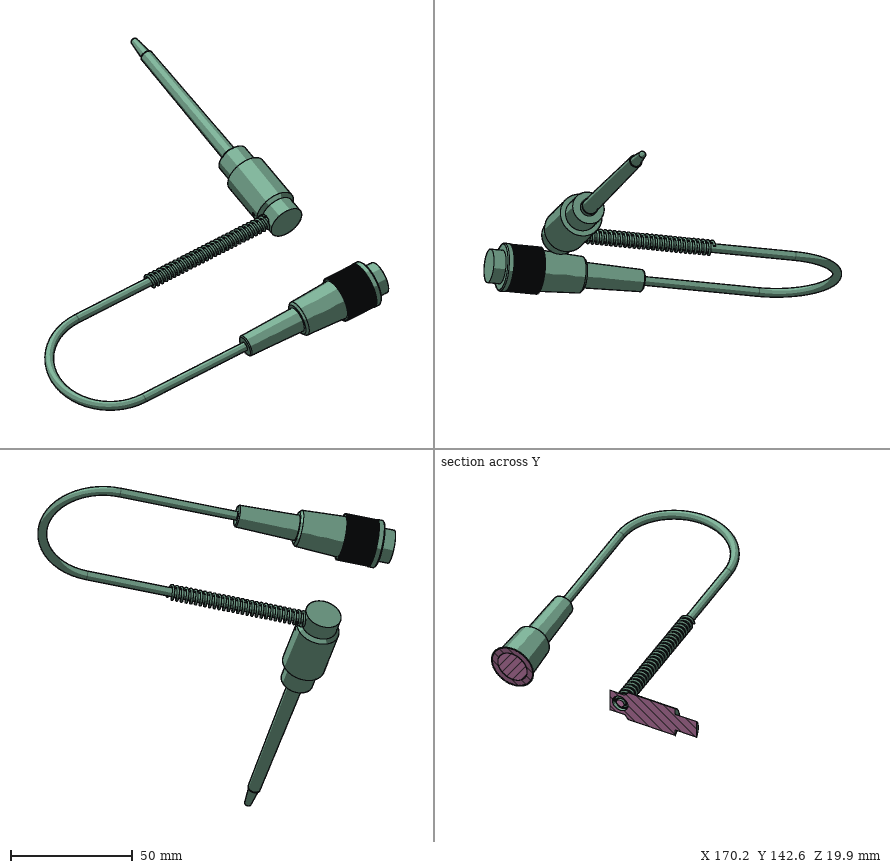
import cadquery as cq
import math


tip_end_dia = 2.9
tip_dome_height = 0.8
tip_dome_radius = (tip_end_dia**2 / 4 + tip_dome_height**2) / (2 * tip_dome_height)
tip_base_dia = 4.5
tip_length = 10.0
shaft_front_dia = 5.3
shaft_back_dia = 6.5
shaft_end = 72.5
collar_dia = 7.0
stylus_length = 74.8

front_dia = 13.6
front_length = 9.9
grip_dia = 18.0
grip_length = 23.4
cap_dia = 15.0
cap_length = 7.0
grip_chamfer = (grip_dia - cap_dia) / 2
grip_start = stylus_length + front_length
grip_end = grip_start + grip_length
handle_end = grip_end + cap_length
pin_hole_dia = 1.5
pin_hole_depth = 3.0
pin_hole_x = 104.0

cable_dia = 3.7
bend_radius = 25.0
cable_x = 110.29
plug_x = cable_x + 2 * bend_radius
bend_y = -99.78
socket_floor_y = -5.0

wire_dia = 1.0
spring_dia = 6.5
spring_pitch = 2.0
spring_end_y = -65.0
socket_dia = 7.0
coil_radius = (spring_dia - wire_dia) / 2
spring_length = socket_floor_y - spring_end_y - wire_dia

nose_end_y = 16.0
nose_dia = 13.9
nose_length = 5.2
ring_length = 16.1
shell_front_dia = 17.1
shell_back_dia = 15.2
shell_length = 19.1
shell_chamfer = 1.0
boot_front_dia = 10.7
boot_back_dia = 9.2
boot_length = 25.6
boot_chamfer = 0.5
cable_socket_depth = 5.0
ring_front_y = nose_end_y - nose_length
ring_back_y = ring_front_y - ring_length
shell_back_y = ring_back_y - shell_length
boot_back_y = shell_back_y - boot_length
cable_end_y = boot_back_y + cable_socket_depth

ring_dia = 19.9
rim_length = 2.6
rim_chamfer = 0.5
knurl_dia = 19.5
knurl_depth = 0.4
knurl_count = 140


def turned_along_x(stations):
    """Solid of revolution about X from (x, diameter) pairs."""
    outline = [(x, dia / 2) for x, dia in stations]
    points = [(stations[0][0], 0), *outline, (stations[-1][0], 0)]
    return cq.Workplane("XY").polyline(points).close().revolve(360, (0, 0), (1, 0))


def turned_along_y(stations):
    """Solid of revolution about the plug axis from (y, diameter) pairs."""
    outline = [(plug_x + dia / 2, y) for y, dia in stations]
    points = [(plug_x, stations[0][0]), *outline, (plug_x, stations[-1][0])]
    return cq.Workplane("XY").polyline(points).close().revolve(360, (plug_x, 0), (plug_x, 1))


def rod_along_y(x, start_y, end_y, dia):
    """Round rod parallel to Y, running from start_y down to end_y."""
    return cq.Workplane("XZ", origin=(x, start_y, 0)).circle(dia / 2).extrude(start_y - end_y)


def make_stylus():
    profile = (
        cq.Workplane("XY")
        .moveTo(0, 0)
        .radiusArc((tip_dome_height, tip_end_dia / 2), tip_dome_radius)
        .lineTo(tip_length, tip_base_dia / 2)
        .lineTo(tip_length, shaft_front_dia / 2)
        .lineTo(shaft_end, shaft_back_dia / 2)
        .lineTo(shaft_end, collar_dia / 2)
        .lineTo(stylus_length, collar_dia / 2)
        .lineTo(stylus_length, 0)
        .close()
    )
    return profile.revolve(360, (0, 0), (1, 0))


def make_handle():
    body = turned_along_x([
        (stylus_length, front_dia),
        (grip_start, front_dia),
        (grip_start, grip_dia),
        (grip_end - grip_chamfer, grip_dia),
        (grip_end, cap_dia),
        (handle_end, cap_dia),
    ])
    socket = rod_along_y(cable_x, socket_floor_y, -grip_dia, socket_dia)
    pin_hole = rod_along_y(pin_hole_x, pin_hole_depth - grip_dia / 2, -grip_dia, pin_hole_dia)
    return body.cut(socket).cut(pin_hole)


def make_spring():
    helix = cq.Wire.makeHelix(spring_pitch, spring_length, coil_radius)
    wire = cq.Workplane("XZ", origin=(coil_radius, 0, 0)).circle(wire_dia / 2).sweep(helix, isFrenet=True)
    standing = wire.rotate((0, 0, 0), (1, 0, 0), 90)
    return standing.translate((cable_x, socket_floor_y - wire_dia / 2, 0))


def make_cable():
    path = (
        cq.Workplane("XY")
        .moveTo(cable_x, socket_floor_y)
        .lineTo(cable_x, bend_y)
        .threePointArc((cable_x + bend_radius, bend_y - bend_radius), (plug_x, bend_y))
        .lineTo(plug_x, cable_end_y)
    )
    return cq.Workplane("XZ", origin=(cable_x, socket_floor_y, 0)).circle(cable_dia / 2).sweep(path)


def make_plug():
    body = turned_along_y([
        (nose_end_y, nose_dia),
        (ring_back_y, nose_dia),
        (ring_back_y, shell_front_dia),
        (shell_back_y + shell_chamfer, shell_back_dia),
        (shell_back_y, shell_back_dia - 2 * shell_chamfer),
        (shell_back_y, boot_front_dia),
        (boot_back_y + boot_chamfer, boot_back_dia),
        (boot_back_y, boot_back_dia - 2 * boot_chamfer),
    ])
    return body.cut(rod_along_y(plug_x, cable_end_y, boot_back_y, cable_dia))


def make_ring():
    rim = turned_along_y([
        (ring_front_y, ring_dia - 2 * rim_chamfer),
        (ring_front_y - rim_chamfer, ring_dia),
        (ring_front_y - rim_length, ring_dia),
    ])
    teeth = []
    for i in range(2 * knurl_count):
        angle = math.pi * i / knurl_count
        radius = knurl_dia / 2 - knurl_depth * (i % 2)
        teeth.append((radius * math.cos(angle), radius * math.sin(angle)))
    knurl_start = (plug_x, ring_front_y - rim_length, 0)
    knurl = cq.Workplane("XZ", origin=knurl_start).polyline(teeth).close().extrude(ring_length - rim_length)
    return rim.union(knurl).cut(rod_along_y(plug_x, ring_front_y, ring_back_y, nose_dia))


stylus = make_stylus()
handle = make_handle()
spring = make_spring()
cable = make_cable()
plug = make_plug()
ring = make_ring()

result = cq.Compound.makeCompound([
    stylus.val(),
    handle.val(),
    spring.val(),
    cable.val(),
    plug.val(),
    ring.val(),
])